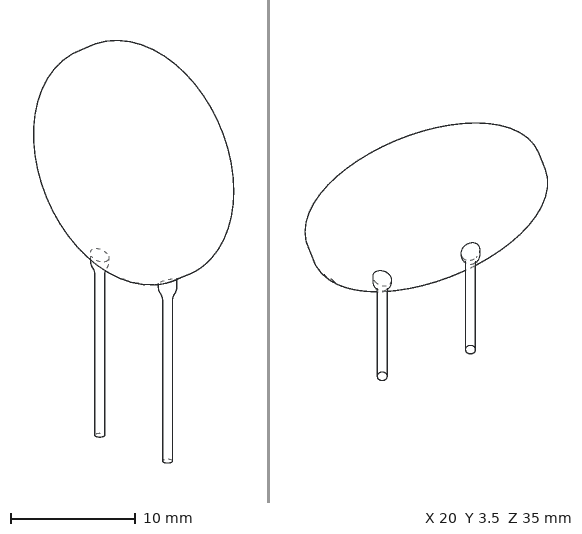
import cadquery as cq
import math

total_height = 35.0
disc_diameter = 20.0
disc_thickness = 3.5
rim_fillet = 1.0

lead_diameter = 0.8
lead_spacing = 7.5
collar_diameter = 1.5
neck_diameter = 1.25
collar_straight_end = -9.75
neck_level = -10.22
flare_end = -10.95

disc_radius = disc_diameter / 2
lead_radius = lead_diameter / 2
collar_radius = collar_diameter / 2
neck_radius = neck_diameter / 2
lead_end = disc_radius - total_height
lead_top = -disc_radius / 2


def arc_midpoint(tangent_point, end_point):
    """Middle of the arc that leaves tangent_point vertically and reaches end_point."""
    radial = end_point[0] - tangent_point[0]
    axial = end_point[1] - tangent_point[1]
    radius = (radial**2 + axial**2) / (2 * abs(radial))
    half_angle = math.asin(abs(axial) / radius) / 2
    return (
        tangent_point[0] + math.copysign(radius * (1 - math.cos(half_angle)), radial),
        tangent_point[1] + math.copysign(radius * math.sin(half_angle), axial),
    )


def make_disc():
    """Flat round body with both rims rounded."""
    disc = cq.Workplane("XZ").circle(disc_radius).extrude(disc_thickness / 2, both=True)
    return disc.faces("|Y").edges().fillet(rim_fillet)


def make_lead(x):
    """Lead with its collar, revolved about a vertical axis at the given x."""
    collar_point = (collar_radius, collar_straight_end)
    neck_point = (neck_radius, neck_level)
    flare_point = (lead_radius, flare_end)
    profile = (
        cq.Workplane("XZ")
        .moveTo(0, lead_top)
        .lineTo(collar_radius, lead_top)
        .lineTo(*collar_point)
        .threePointArc(arc_midpoint(collar_point, neck_point), neck_point)
        .threePointArc(arc_midpoint(flare_point, neck_point), flare_point)
        .lineTo(lead_radius, lead_end)
        .lineTo(0, lead_end)
        .close()
    )
    return profile.revolve(360, (0, 0, 0), (0, 1, 0)).translate((x, 0, 0))


result = make_disc()
for side in (-1, 1):
    result = result.union(make_lead(side * lead_spacing / 2))